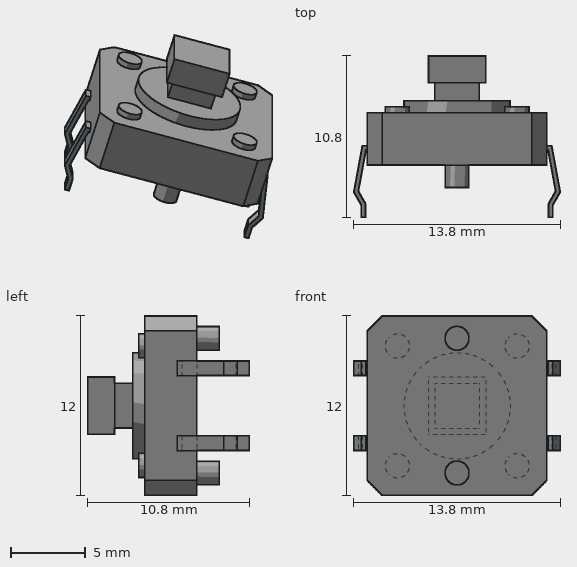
import cadquery as cq
import math


body_side = 12.0
body_depth = 3.5
corner_bevel = 1.0

collar_diameter = 7.1
collar_top = 4.3
neck_side = 3.0
neck_top = 5.5
cap_side = 3.84
cap_top = 7.3

rivet_diameter = 1.62
rivet_height = 0.4
rivet_offset = 4.0

peg_diameter = 1.6
peg_length = 1.5
peg_offset = 4.5

pin_thickness = 0.3
pin_width = 1.0
pin_offset = 2.5
pin_root_y = 1.3
pin_shoulder_x = 6.33
pin_knee_x = 6.9
pin_knee_y = -1.8
pin_foot_x = 6.4
pin_foot_y = -2.68
pin_tip_y = -3.5


def at_depth(y):
    """Workplane at height y along the button axis: local x = +X, local y = +Z, normal = -Y."""
    return cq.Workplane("XZ", origin=(0, y, 0))


def make_body():
    block = cq.Workplane("XZ").rect(body_side, body_side).extrude(-body_depth)
    return block.edges("|Y").chamfer(corner_bevel)


def make_button():
    collar = at_depth(body_depth).circle(collar_diameter / 2).extrude(body_depth - collar_top)
    neck = at_depth(collar_top).rect(neck_side, neck_side).extrude(collar_top - neck_top)
    cap = at_depth(neck_top).rect(cap_side, cap_side).extrude(neck_top - cap_top)
    return collar.union(neck).union(cap)


def make_rivets():
    pitch = 2 * rivet_offset
    return (
        at_depth(body_depth)
        .rarray(pitch, pitch, 2, 2)
        .circle(rivet_diameter / 2)
        .extrude(-rivet_height)
    )


def make_pegs():
    centres = [(0, peg_offset), (0, -peg_offset)]
    return at_depth(0).pushPoints(centres).circle(peg_diameter / 2).extrude(peg_length)


def inner_corner(before, corner, after):
    """Corner of the strip's inner face, one pin thickness inside the outer corner."""
    angle_in = math.atan2(corner[1] - before[1], corner[0] - before[0])
    angle_out = math.atan2(after[1] - corner[1], after[0] - corner[0])
    half_bend = math.remainder(angle_out - angle_in, 2 * math.pi) / 2
    inward = angle_in + half_bend - math.pi / 2
    reach = pin_thickness / math.cos(half_bend)
    return (corner[0] + reach * math.cos(inward), corner[1] + reach * math.sin(inward))


def make_pin():
    """The +X pin, centred on Z = 0: a root tab, a splayed leg, a knee and a straight foot."""
    wall_x = body_side / 2
    outer = [
        (wall_x, pin_root_y),
        (pin_shoulder_x, pin_root_y),
        (pin_knee_x, pin_knee_y),
        (pin_foot_x, pin_foot_y),
        (pin_foot_x, pin_tip_y),
    ]
    inner = [(wall_x, pin_root_y - pin_thickness)]
    for before, corner, after in zip(outer, outer[1:], outer[2:]):
        inner.append(inner_corner(before, corner, after))
    inner.append((pin_foot_x - pin_thickness, pin_tip_y))
    profile = outer + inner[::-1]
    return cq.Workplane("XY").polyline(profile).close().extrude(pin_width / 2, both=True)


def make_pins():
    right_pin = make_pin()
    pins = cq.Workplane("XY")
    for pin in (right_pin, right_pin.mirror("YZ")):
        for z in (-pin_offset, pin_offset):
            pins = pins.add(pin.translate((0, 0, z)))
    return pins.combine()


result = make_body()
for feature in (make_button(), make_rivets(), make_pegs(), make_pins()):
    result = result.union(feature)